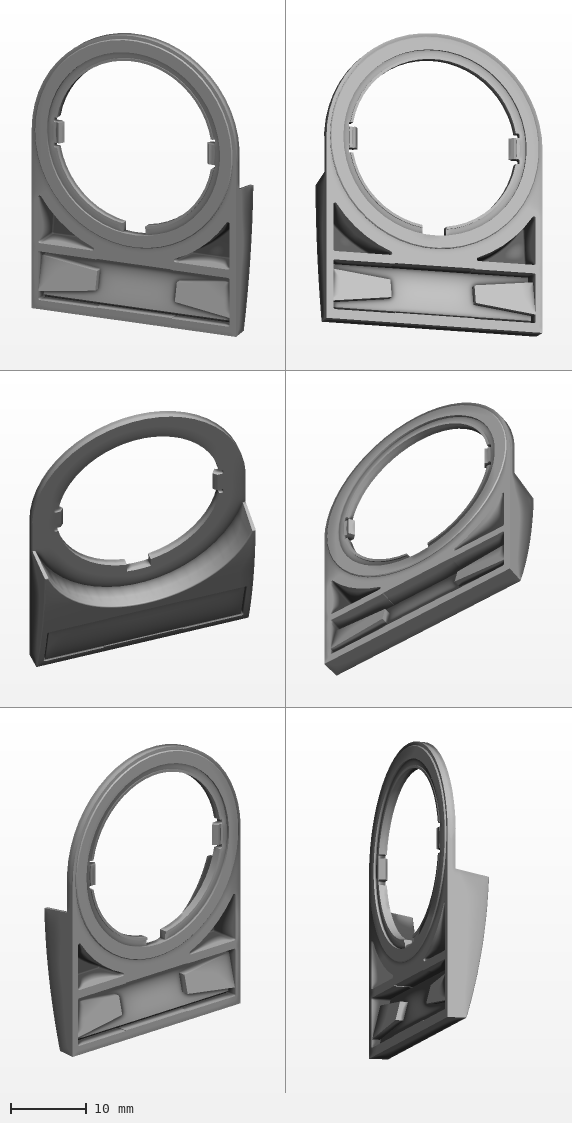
import cadquery as cq
import math

width = 29.8
height = 39.73
outer_radius = width / 2
ring_center_z = height - outer_radius
plate_front_y = 0.2
plate_back_y = 1.35

ring_radius = 14.42
ring_chamfer = 0.1
recess_radius = 12.65
recess_y = 0.35
lip_radius = 11.75
lip_y = 0.2
hole_radius = 11.4

notch_width = 3.3
lug_height = 2.85
lug_tip_x = 10.4
lug_tip_y = 0.85
lug_ridge_x = 10.93
lug_ridge_y = 0.1
slot_height = 0.65
slot_corner_radius = 0.15

depth = 6.15
skirt_top_front_z = 20.1
skirt_top_back_z = 19.35
skirt_bottom_y = 2.9
back_radius = 75.5
skin = 0.8
side_draft = 1.9
skirt_edge_fillet = 0.15
collar_radius = 15.2

pocket_half_width = 13.95
pocket_bottom_z = 9.18
pocket_arc_radius = 16.33
pocket_corner_radius = 0.25
pocket_draft = 2.0
pocket_floor_fillet = 0.2

window_bottom_z = 1.27
window_top_z = 8.03
window_corner_radius = 0.25
pad_half_width = 5.5
pad_rise = 0.08
floor_break_y = 1.0
floor_slope = 2.3

label_tilt = 14.0
label_half_width = 13.63
label_thickness = 1.9
label_edge_z = 1.8
label_edge_y = 1.25
label_chamfer_y = 0.5

tab_thickness = 1.1
tab_tip_x = 5.8
tab_root_z = (2.45, 7.1)
tab_tip_z = (3.55, 6.08)

through_y = depth + 2


def facing_back(y):
    """Workplane at depth y whose extrusions run toward +Y (local x is -X)."""
    return cq.Workplane(cq.Plane(origin=(0, y, 0), xDir=(-1, 0, 0), normal=(0, 1, 0)))


def disk(radius, y_start, y_end):
    """Cylinder along Y around the axis of the round opening."""
    return facing_back(y_start).center(0, ring_center_z).circle(radius).extrude(y_end - y_start)


def block(half_width, z_bottom, z_top, y_start, y_end):
    """Box centred on X = 0."""
    return (
        facing_back(y_start)
        .center(0, (z_bottom + z_top) / 2)
        .rect(2 * half_width, z_top - z_bottom)
        .extrude(y_end - y_start)
    )


def side_profile(points, half_width):
    """Prism along X of an outline given as (y, z) points."""
    return cq.Workplane("YZ").polyline(points).close().extrude(half_width, both=True)


def both_sides(body):
    return body.union(body.mirror("YZ"))


def back_cylinder(radius):
    """Cylinder along X, concentric with the curved back of the skirt."""
    rise_y = depth - skirt_bottom_y
    rise_z = skirt_top_back_z
    chord = math.hypot(rise_y, rise_z)
    sagitta_leg = math.sqrt(back_radius**2 - chord**2 / 4)
    center_y = skirt_bottom_y + rise_y / 2 - sagitta_leg * rise_z / chord
    center_z = rise_z / 2 + sagitta_leg * rise_y / chord
    return cq.Workplane("YZ").center(center_y, center_z).circle(radius).extrude(width, both=True)


def label_face_y(z):
    """Depth of the front face of the label at height z."""
    return label_edge_y + (z - label_edge_z) * math.tan(math.radians(label_tilt))


def drafted_outline():
    """Block with the straight outer sides of plate and skirt, narrowing toward the back."""
    return (
        facing_back(plate_front_y)
        .center(0, height / 2)
        .rect(width, height)
        .extrude(through_y - plate_front_y, taper=side_draft)
    )


def make_plate():
    """Arched front plate with the raised ring."""
    plate = drafted_outline().intersect(
        block(outer_radius, 0, ring_center_z, plate_front_y, plate_back_y)
    )
    plate = plate.union(disk(outer_radius, plate_front_y, plate_back_y))
    ring = disk(ring_radius, 0, plate_back_y).faces("<Y").chamfer(ring_chamfer)
    return plate.union(ring)


def make_skirt():
    """Drafted block with a curved back and a collar cut around the opening."""
    lower = side_profile(
        [
            (plate_back_y, 0),
            (through_y, 0),
            (through_y, skirt_top_back_z),
            (depth, skirt_top_back_z),
            (plate_back_y, skirt_top_front_z),
        ],
        outer_radius,
    )
    skirt = drafted_outline().intersect(lower).intersect(back_cylinder(back_radius))
    skirt = skirt.cut(disk(collar_radius, plate_back_y, through_y))
    return skirt.faces(">Y").edges("not %CIRCLE").fillet(skirt_edge_fillet)


def cut_opening(frame):
    """Round opening inside a recess and a lip, with the key notch and the two spring lugs."""
    frame = frame.cut(disk(recess_radius, 0, recess_y))
    frame = frame.union(disk(lip_radius, lip_y, recess_y))
    frame = frame.cut(disk(hole_radius, 0, plate_back_y))
    notch = block(notch_width / 2, 0, ring_center_z, 0, plate_back_y)
    frame = frame.cut(notch.intersect(disk(recess_radius, 0, plate_back_y)))

    lug = (
        cq.Workplane("XY")
        .polyline(
            [
                (recess_radius, recess_y),
                (hole_radius, recess_y),
                (lug_ridge_x, lug_ridge_y),
                (lug_tip_x, lug_tip_y),
                (lug_ridge_x, plate_back_y),
                (recess_radius, plate_back_y),
            ]
        )
        .close()
        .extrude(lug_height / 2, both=True)
        .translate((0, 0, ring_center_z))
    )
    slots = (
        facing_back(0)
        .pushPoints([(0, ring_center_z + side * (lug_height + slot_height) / 2) for side in (-1, 1)])
        .rect(2 * lip_radius, slot_height)
        .extrude(plate_back_y)
        .edges("|Y")
        .fillet(slot_corner_radius)
    )
    return frame.union(both_sides(lug)).cut(slots)


def make_corner_pocket():
    """Three-sided pocket between side wall, window and collar, ending at the back skin."""

    def arc_point(angle):
        return (
            pocket_arc_radius * math.cos(angle),
            ring_center_z + pocket_arc_radius * math.sin(angle),
        )

    upper_angle = -math.acos(pocket_half_width / pocket_arc_radius)
    lower_angle = -math.asin((ring_center_z - pocket_bottom_z) / pocket_arc_radius)
    pocket = (
        facing_back(plate_front_y)
        .moveTo(pocket_half_width, pocket_bottom_z)
        .lineTo(*arc_point(upper_angle))
        .threePointArc(arc_point((upper_angle + lower_angle) / 2), arc_point(lower_angle))
        .close()
        .extrude(through_y - plate_front_y, taper=pocket_draft)
        .edges("not(<Y or >Y)")
        .fillet(pocket_corner_radius)
        .intersect(back_cylinder(back_radius - skin))
    )
    return pocket.faces(">Y").edges().fillet(pocket_floor_fillet)


def make_window():
    """Window through plate and skirt; a pad raises its floor and top in the middle."""
    window = block(pocket_half_width, window_bottom_z, window_top_z, 0, through_y)
    window = window.edges("|Y").fillet(window_corner_radius)
    floor_drop = (through_y - floor_break_y) * math.tan(math.radians(floor_slope))
    floor_relief = side_profile(
        [
            (floor_break_y, window_bottom_z),
            (through_y, window_bottom_z - floor_drop),
            (through_y, window_bottom_z + window_corner_radius),
            (floor_break_y, window_bottom_z + window_corner_radius),
        ],
        pocket_half_width - window_corner_radius,
    )
    window = window.union(floor_relief)
    pad = block(pad_half_width, 0, window_bottom_z + pad_rise, 0, through_y)
    top_notch = block(pad_half_width, window_top_z - 0.4, window_top_z + pad_rise, 0, through_y)
    return window.cut(pad).union(top_notch)


def make_tab():
    """Tapered tab on the side wall, lying on the face of the label."""
    outline = (
        facing_back(0)
        .polyline(
            [
                (pocket_half_width, tab_root_z[0]),
                (tab_tip_x, tab_tip_z[0]),
                (tab_tip_x, tab_tip_z[1]),
                (pocket_half_width, tab_root_z[1]),
            ]
        )
        .close()
        .extrude(through_y)
    )
    leaning_slab = side_profile(
        [
            (label_face_y(0) - tab_thickness, 0),
            (label_face_y(0), 0),
            (label_face_y(window_top_z), window_top_z),
            (label_face_y(window_top_z) - tab_thickness, window_top_z),
        ],
        width,
    )
    return outline.intersect(leaning_slab)


def make_frame():
    frame = make_plate().union(make_skirt())
    frame = cut_opening(frame)
    frame = frame.cut(both_sides(make_corner_pocket()))
    frame = frame.cut(make_window())
    return frame.union(both_sides(make_tab()))


def make_label():
    """Leaning plate with flat top and bottom, chamfered along the lower front edge."""
    bottom_z = window_bottom_z + pad_rise
    thickness_y = label_thickness / math.cos(math.radians(label_tilt))
    return side_profile(
        [
            (label_edge_y + label_chamfer_y, bottom_z),
            (label_edge_y, label_edge_z),
            (label_face_y(window_top_z), window_top_z),
            (label_face_y(window_top_z) + thickness_y, window_top_z),
            (label_face_y(bottom_z) + thickness_y, bottom_z),
        ],
        label_half_width,
    )


frame = make_frame()
label = make_label()
result = cq.Compound.makeCompound([frame.val(), label.val()])